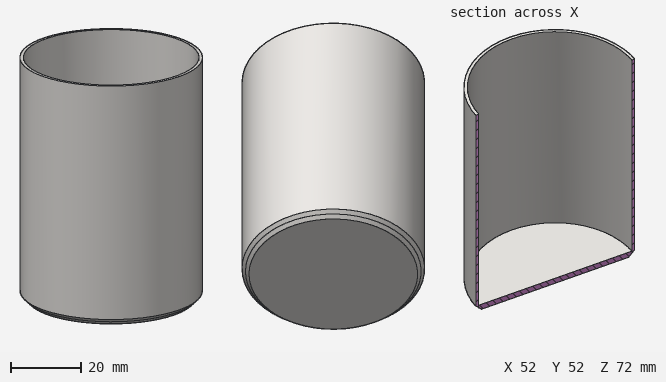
import cadquery as cq

outer_diameter = 52.0
inner_diameter = 50.0
total_height = 72.0
bottom_chamfer = 2.0
base_thickness = 2.0

outer_radius = outer_diameter / 2
inner_radius = inner_diameter / 2
wall = outer_radius - inner_radius

tube_bottom = bottom_chamfer - wall
base_chamfer = bottom_chamfer - wall


def make_tube():
    """Thin tube whose lower end is bevelled through the full wall, down to its bore."""
    section = [
        (inner_radius, tube_bottom),
        (outer_radius, bottom_chamfer),
        (outer_radius, total_height),
        (inner_radius, total_height),
    ]
    axis_start = (0, 0, 0)
    axis_end = (0, 1, 0)
    return cq.Workplane("XZ").polyline(section).close().revolve(360, axis_start, axis_end)


def make_base():
    """Disc that closes the bore at the bottom, chamfered on its lower edge."""
    disc = cq.Workplane("XY").circle(inner_radius).extrude(base_thickness)
    return disc.faces("<Z").edges().chamfer(base_chamfer)


tube = make_tube()
base = make_base()

result = cq.Compound.makeCompound([tube.val(), base.val()])